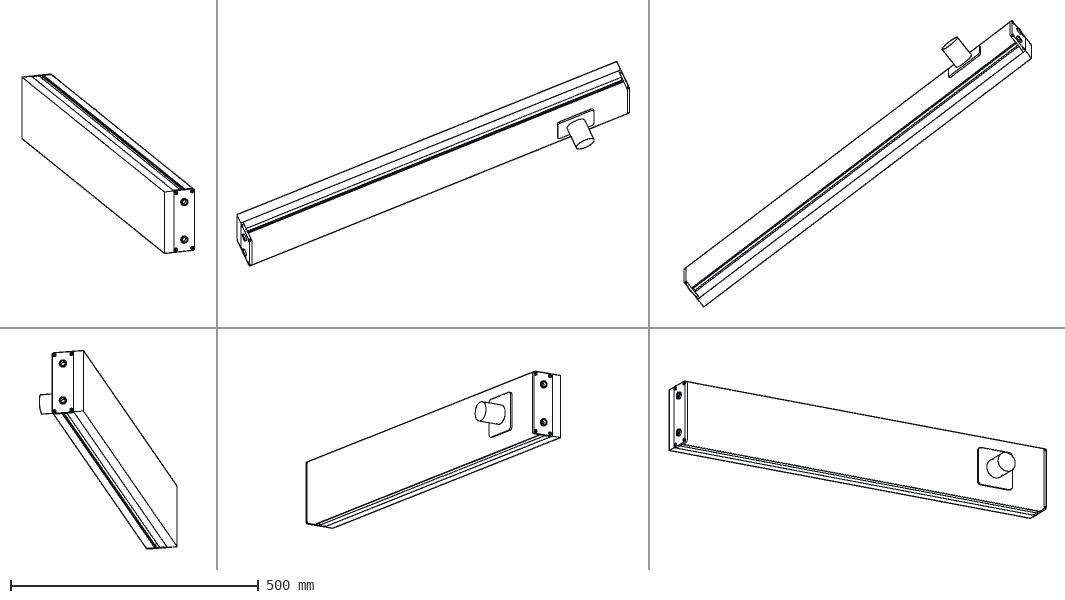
import cadquery as cq

total_length = 844.0
total_depth = 115.0
height = 130.0

ring_height = 3.0
body_length = total_length - 2 * ring_height
cover_depth = 20.0

profile_back = 65.0
end_cap_thickness = 5.0
profile_length = body_length - 2 * end_cap_thickness
back_edge_radius = 4.0

groove_front = 35.5
groove_back = 43.0
groove_depth = 17.0
lip_width = 2.5
lip_depth = 2.5

ring_diameter = 14.0
ring_bore_diameter = 10.0
ring_spacing = 79.0
ring_y = 42.0
corner_hole_diameter = 3.0
counterbore_diameter = 6.0
counterbore_depth = 2.5
corner_hole_inset = 5.0

flange_size = 79.0
flange_thickness = 3.0
flange_corner_radius = 8.0
spigot_diameter = 40.0
connector_from_end = 120.0
connector_x = -body_length / 2 + connector_from_end


def block(length, y_front, y_back, block_height):
    """Box centred on X and Z that spans y_front to y_back."""
    box = cq.Workplane("XY").box(length, y_back - y_front, block_height, centered=(True, False, True))
    return box.translate((0, y_front, 0))


def x_cylinder(diameter, length, y, z):
    """Cylinder along +X that starts at x = 0."""
    return cq.Workplane("YZ").center(y, z).circle(diameter / 2).extrude(length)


def rounded_block(length):
    """Block behind the cover, with its two long back edges rounded."""
    body = block(length, cover_depth, profile_back, height)
    return body.edges("|X and >Y").fillet(back_edge_radius)


def make_cover():
    return block(body_length, 0, cover_depth, height)


def make_profile():
    profile = rounded_block(profile_length)
    groove_web = block(profile_length, groove_front, groove_back, height - 2 * groove_depth)
    groove = block(profile_length, groove_front, groove_back, height).cut(groove_web)
    lip_web = block(profile_length, groove_back, groove_back + lip_width, height - 2 * lip_depth)
    lip = block(profile_length, groove_back, groove_back + lip_width, height).cut(lip_web)
    return profile.cut(groove).cut(lip)


def make_end_cap():
    """Cap with its inner face at x = -end_cap_thickness / 2 and its hollow rings towards +X."""
    cap = rounded_block(end_cap_thickness)
    outer_face = end_cap_thickness / 2
    bore_length = end_cap_thickness + ring_height
    for side in (-1, 1):
        ring_z = side * ring_spacing / 2
        ring = x_cylinder(ring_diameter, ring_height, ring_y, ring_z)
        bore = x_cylinder(ring_bore_diameter, bore_length, ring_y, ring_z)
        cap = cap.union(ring.translate((outer_face, 0, 0)))
        cap = cap.cut(bore.translate((-outer_face, 0, 0)))

        hole_z = side * (height / 2 - corner_hole_inset)
        for hole_y in (cover_depth + corner_hole_inset, profile_back - corner_hole_inset):
            hole = x_cylinder(corner_hole_diameter, end_cap_thickness, hole_y, hole_z)
            counterbore = x_cylinder(counterbore_diameter, counterbore_depth, hole_y, hole_z)
            cap = cap.cut(hole.translate((-outer_face, 0, 0)))
            cap = cap.cut(counterbore.translate((outer_face - counterbore_depth, 0, 0)))
    return cap


def make_connector():
    flange_back = profile_back + flange_thickness
    flange = block(flange_size, profile_back, flange_back, flange_size)
    flange = flange.edges("|Y").fillet(flange_corner_radius)
    spigot_length = total_depth - flange_back
    spigot = cq.Workplane("XZ").circle(spigot_diameter / 2).extrude(-spigot_length)
    connector = flange.union(spigot.translate((0, flange_back, 0)))
    return connector.translate((connector_x, 0, 0))


cover = make_cover()
profile = make_profile()
connector = make_connector()

end_cap_offset = (body_length - end_cap_thickness) / 2
end_caps = []
for turn in (0, 180):
    end_cap = make_end_cap().translate((end_cap_offset, 0, 0))
    end_caps.append(end_cap.rotate((0, 0, 0), (0, 1, 0), turn).val())

result = cq.Compound.makeCompound([cover.val(), profile.val(), connector.val(), *end_caps])